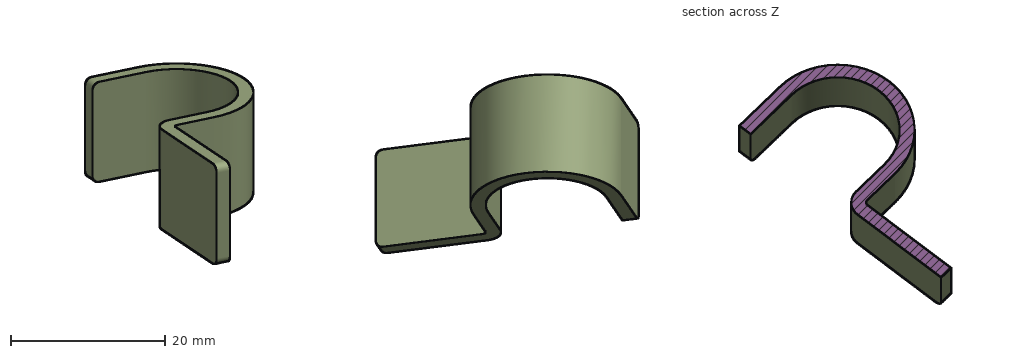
import cadquery as cq
import math

thickness = 2.0
width = 14.0
inner_radius = 8.0
leg_length = 8.0
bend_inner_radius = 0.5
overall_length = 35.0
corner_radius = 1.0

outer_radius = inner_radius + thickness
bend_outer_radius = bend_inner_radius + thickness
flange_end_x = overall_length - outer_radius
base_y = -leg_length
flange_top_y = base_y + thickness
bend_x = outer_radius + bend_inner_radius
bend_y = flange_top_y + bend_inner_radius


def bend_midpoint(radius):
    """Middle point of the flange bend arc with the given radius."""
    offset = radius * math.cos(math.radians(45))
    return (bend_x - offset, bend_y - offset)


def make_strip():
    """Bent strip: left leg, half hoop, right leg, bend and flange."""
    return (
        cq.Workplane("XY")
        .moveTo(-outer_radius, base_y)
        .lineTo(-outer_radius, 0)
        .threePointArc((0, outer_radius), (outer_radius, 0))
        .lineTo(outer_radius, bend_y)
        .threePointArc(bend_midpoint(bend_inner_radius), (bend_x, flange_top_y))
        .lineTo(flange_end_x, flange_top_y)
        .lineTo(flange_end_x, base_y)
        .lineTo(bend_x, base_y)
        .threePointArc(bend_midpoint(bend_outer_radius), (inner_radius, bend_y))
        .lineTo(inner_radius, 0)
        .threePointArc((0, inner_radius), (-inner_radius, 0))
        .lineTo(-inner_radius, base_y)
        .close()
        .extrude(width / 2, both=True)
    )


def round_strip_ends(strip):
    """Round the two corners of the flange end and of the left leg end."""
    rounded = strip.faces(">X").edges("|Y").fillet(corner_radius)
    left_leg_end = rounded.faces("<Y").edges("|X").edges("<X")
    return left_leg_end.fillet(corner_radius)


result = round_strip_ends(make_strip())